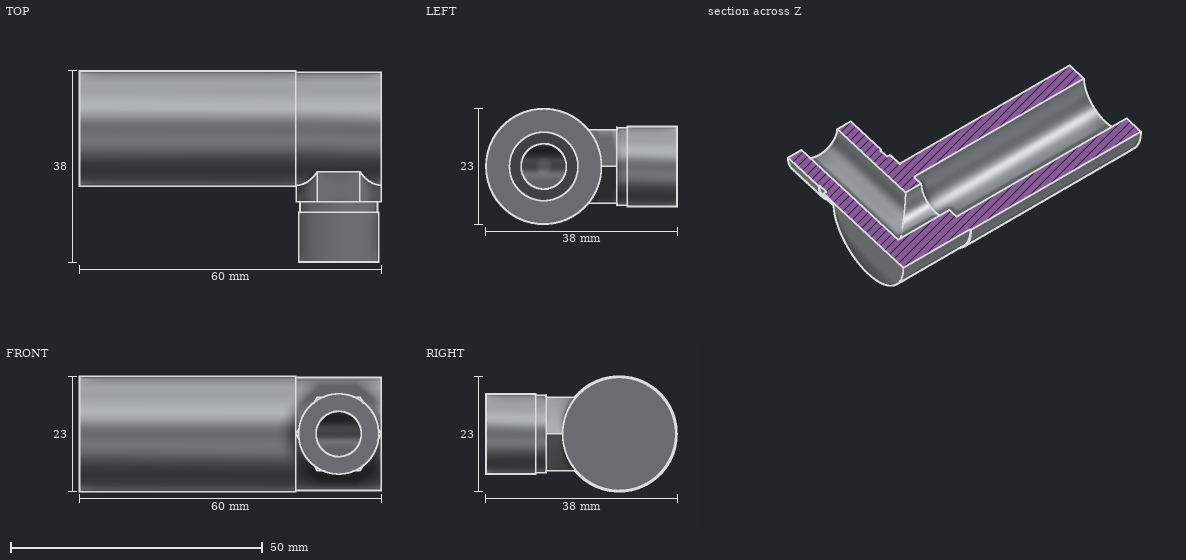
import cadquery as cq

sleeve_length = 43.0
sleeve_diameter = 23.0
sleeve_bore_diameter = 13.6

overall_length = 60.0
overall_width = 38.0
head_length = overall_length - sleeve_length
head_diameter = 22.5
branch_x = sleeve_length + head_length / 2

hex_side_gap = 0.03
hex_across_corners = head_length - 2 * hex_side_gap
hex_end = 14.5
neck_diameter = 15.5
neck_end = 16.6
spigot_diameter = 15.95
spigot_end = overall_width - sleeve_diameter / 2

passage_diameter = 9.0
passage_radius = passage_diameter / 2


def cylinder_x(diameter, start, end):
    """Cylinder on the sleeve axis between two X positions."""
    return cq.Workplane("YZ", origin=(start, 0, 0)).circle(diameter / 2).extrude(end - start)


def branch_plane(distance):
    """Plane centred on the branch axis, facing -Y, at a distance from the sleeve axis."""
    return cq.Workplane("XZ", origin=(branch_x, -distance, 0))


def cylinder_branch(diameter, start, end):
    """Cylinder on the branch axis between two distances from the sleeve axis."""
    return branch_plane(start).circle(diameter / 2).extrude(end - start)


def make_branch():
    """Hexagon with corners along X, followed by the neck and the spigot."""
    hexagon = branch_plane(0).polygon(6, hex_across_corners).extrude(hex_end)
    neck = cylinder_branch(neck_diameter, hex_end, neck_end)
    spigot = cylinder_branch(spigot_diameter, neck_end, spigot_end)
    return hexagon.union(neck).union(spigot)


def make_passage():
    """Two equal bores meeting in a sharp mitred corner."""
    inlet = cylinder_x(passage_diameter, sleeve_length, branch_x)
    outlet = cylinder_branch(passage_diameter, 0, spigot_end)
    corner_x = cylinder_x(passage_diameter, branch_x - passage_radius, branch_x + passage_radius)
    corner_y = cylinder_branch(passage_diameter, -passage_radius, passage_radius)
    return inlet.union(outlet).union(corner_x.intersect(corner_y))


sleeve = cylinder_x(sleeve_diameter, 0, sleeve_length)
head = cylinder_x(head_diameter, sleeve_length, overall_length)
sleeve_bore = cylinder_x(sleeve_bore_diameter, 0, sleeve_length)

result = sleeve.union(head).union(make_branch()).cut(sleeve_bore).cut(make_passage())